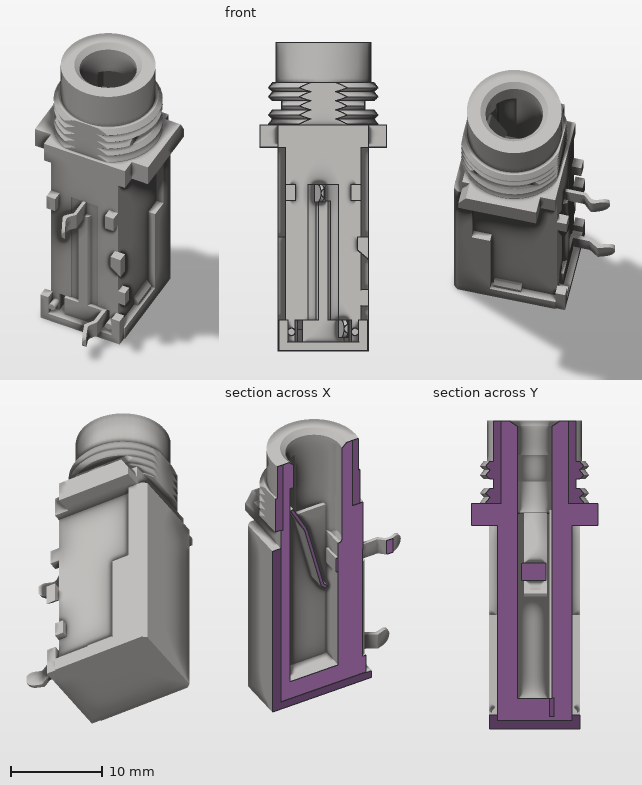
import cadquery as cq
import math


total_height = 33.85
body_half_width = 4.98
front_y = -5.75
back_y = 5.75
standoff_y = -6.85

housing_half_width = 4.13
housing_back_y = 4.7
floor_top_z = 0.98
flange_bottom_z = 22.35
flange_top_z = 24.8
ear_half_width = 13.9 / 2
ear_front_y = -4.05
ear_chamfer_depth = 0.85
ear_chamfer_height = 1.45
ear_chamfer_half_gap = 5.05

neck_radius = 4.5
bore_radius = 3.15
bore_mouth_radius = 3.72
bore_floor_z = 3.42
mouth_depth = bore_mouth_radius - bore_radius
shelf_y = -2.55
shelf_back_y = -2.88
shelf_top_z = 20.3
shelf_slope_top_z = 21.0

spring_x = 0.15
spring_half_width = 2.5
spring_pocket_back_y = 3.52
spring_pocket_top_z = 30.1
window_left_x = 1.85
window_right_x = 3.52
window_front_y = 0.47
window_back_y = 2.55
window_top_z = 31.07

groove_half_width = 1.65
groove_depth = 0.1
raised_y = -6.1
rib_half_width = 0.55
rib_base_half_width = 0.8
leg_height = 1.95
upper_leg_top_z = 18.28
upper_leg_bottom_z = upper_leg_top_z - leg_height
rib_top_z = 16.45

foot_top_z = bore_floor_z
foot_half_width = 2.3
foot_recess_half_width = 3.08
foot_recess_depth = 1.3
foot_recess_step_x = 2.85
foot_recess_step_depth = 1.0
foot_ledge_depth = 1.15
foot_ledge_top_z = 2.37
peg_radius = 0.4
peg_x = 3.5
peg_z = 2.1

standoff_width = 1.1
standoff_height = 1.8
stop_inner_x = 3.75
stop_bottom_z = 10.02
stop_corner_z = 11.07
step_z = 12.52
side_tab_depth = 1.0
side_tab_bottom_z = 4.95
side_tab_top_z = 6.75
latch_front_y = -1.83
latch_back_y = 1.3
latch_top_z = 2.78
latch_bevel_z = 2.47
latch_nose_z = 2.03
latch_bevel_reach = 0.15
latch_reach = 0.5

collar_radius = 5.2
collar_bottom_z = 29.45
thread_radius = 6.0
thread_root_radius = 5.55
thread_turns = 5
crest_span = 4.0
thread_pitch = crest_span / (thread_turns - 1)
root_above_crest = 0.58
thread_flat_y = 5.38
wrench_flat_x = 4.57
wrench_flat_bottom_z = collar_bottom_z - 3 * thread_pitch

cover_chamfer_x = 0.4
cover_chamfer_y = 0.5
cover_upper_edge_y = 3.62
cover_lower_edge_y = 1.6
cover_sill_z = 1.6
post_outer_x = 4.87
post_inner_x = 3.9
post_top_z = foot_top_z

leg_bend_y = -8.02
leg_tip_y = -10.75
upper_leg_thickness = 0.37
lower_leg_thickness = 0.45
upper_leg_x = 0.0
lower_leg_x = foot_half_width + lower_leg_thickness / 2
upper_knee_shift = -0.85
upper_knee_y = -8.95
upper_knee_radius = 0.68
upper_tip_shift = -0.07
lower_knee_shift = -0.65
lower_knee_y = -9.05
lower_knee_radius = 0.4
lower_tip_shift = -0.05
jog_inner_y = -3.4
jog_outer_y = -4.23
lower_leg_top_z = foot_top_z
lower_leg_bottom_z = lower_leg_top_z - leg_height
pad_left_x = -1.45
pad_right_x = 1.3
pad_face_y = -2.27
blade_x = 1.85
blade_front_y = -2.4
blade_back_y = 2.03
blade_top_z = 24.05
spring_thickness = 0.4
spring_corner_radius = 0.3
spring_top_z = 27.08
spring_bend_y = 1.52
spring_bend_z = 23.7
tongue_left_x = -1.15
tongue_right_x = 1.4
tongue_tip_y = -0.58
tongue_tip_z = 15.23
tongue_end_y = -1.12
tongue_end_z = 14.72


def box(x0, x1, y0, y1, z0, z1):
    """Box between two opposite corners."""
    return cq.Workplane("XY").box(x1 - x0, y1 - y0, z1 - z0, centered=False).translate((x0, y0, z0))


def both_sides(shape):
    """The shape together with its mirror image across the YZ plane."""
    return shape.union(shape.mirror("YZ"))


def cylinder(radius, z0, z1):
    """Cylinder on the plug axis."""
    return cq.Workplane("XY").workplane(offset=z0).circle(radius).extrude(z1 - z0)


def yz_prism(points, x0, x1):
    """Prism along X from a Y, Z outline."""
    return cq.Workplane("YZ").workplane(offset=x0).polyline(points).close().extrude(x1 - x0)


def xz_prism(points, y0, y1):
    """Prism along Y from an X, Z outline."""
    return cq.Workplane("XZ").workplane(offset=-y1).polyline(points).close().extrude(y1 - y0)


def offset_strip(path, thickness):
    """Closed outline of a strip of constant thickness centred on an open path."""
    half = thickness / 2
    normals = []
    for (u0, v0), (u1, v1) in zip(path, path[1:]):
        length = math.hypot(u1 - u0, v1 - v0)
        normals.append(((v0 - v1) / length, (u1 - u0) / length))
    left = []
    right = []
    for i, (u, v) in enumerate(path):
        before = normals[max(i - 1, 0)]
        after = normals[min(i, len(normals) - 1)]
        scale = half / (1 + before[0] * after[0] + before[1] * after[1])
        du = (before[0] + after[0]) * scale
        dv = (before[1] + after[1]) * scale
        left.append((u + du, v + dv))
        right.append((u - du, v - dv))
    return left + right[::-1]


def bent_leg(inner_path, x, knee_shift, tip_shift, knee_y, knee_radius, thickness, bottom_z):
    """Upright strip that leaves the front face, kinks sideways and ends in a full round."""
    path = inner_path + [
        (x, leg_bend_y),
        (x + knee_shift, knee_y),
        (x + tip_shift, leg_tip_y),
    ]
    outline = offset_strip(path, thickness)
    strip = cq.Workplane("XY").workplane(offset=bottom_z).polyline(outline).close().extrude(leg_height)
    outer_knee = outline[len(path) - 2]
    inner_knee = outline[len(path) + 1]
    for knee, knee_side_radius in [
        (outer_knee, knee_radius + thickness / 2), (inner_knee, knee_radius - thickness / 2)
    ]:
        strip = (
            strip.edges("|Z").edges(cq.NearestToPointSelector((*knee, bottom_z + leg_height / 2)))
            .fillet(knee_side_radius)
        )
    radius = leg_height / 2
    tip = min(y for _, y in outline)
    rounding = (
        cq.Workplane("YZ").workplane(offset=-ear_half_width)
        .moveTo(back_y, bottom_z)
        .lineTo(tip + radius, bottom_z)
        .threePointArc((tip, bottom_z + radius), (tip + radius, bottom_z + leg_height))
        .lineTo(back_y, bottom_z + leg_height)
        .close().extrude(2 * ear_half_width)
    )
    return strip.intersect(rounding)


def make_upper_terminal():
    """Leg in the centre plane with a flat contact pad inside the bore."""
    leg = bent_leg(
        [(upper_leg_x, shelf_y)],
        upper_leg_x, upper_knee_shift, upper_tip_shift, upper_knee_y, upper_knee_radius,
        upper_leg_thickness, upper_leg_bottom_z,
    )
    pad = box(pad_left_x, pad_right_x, shelf_y, pad_face_y, upper_leg_bottom_z, upper_leg_top_z)
    return leg.union(pad)


def make_lower_terminal():
    """Leg beside the foot, running in under the bore to a blade that carries the spring."""
    leg = bent_leg(
        [(blade_x, blade_back_y), (blade_x, jog_inner_y), (lower_leg_x, jog_outer_y)],
        lower_leg_x, lower_knee_shift, lower_tip_shift, lower_knee_y, lower_knee_radius,
        lower_leg_thickness, lower_leg_bottom_z,
    )
    half = lower_leg_thickness / 2
    blade = box(
        blade_x - half, blade_x + half, blade_front_y, blade_back_y, lower_leg_bottom_z, blade_top_z
    )
    slope_path = [(spring_pocket_back_y - spring_thickness / 2, spring_top_z), (spring_bend_y, spring_bend_z)]
    slope = yz_prism(
        offset_strip(slope_path, spring_thickness), spring_x - spring_half_width, spring_x + spring_half_width
    )
    slope = slope.faces("<Z").edges("<X or >X").fillet(spring_corner_radius)
    tongue_path = [
        (spring_bend_y, spring_bend_z), (tongue_tip_y, tongue_tip_z), (tongue_end_y, tongue_end_z)
    ]
    tongue = yz_prism(offset_strip(tongue_path, spring_thickness), tongue_left_x, tongue_right_x)
    return leg.union(blade).union(slope).union(tongue)


def make_bushing():
    """Collar over a thread of parallel ridges, sitting on the flange around the neck."""
    outline = [(neck_radius, flange_top_z), (thread_radius, flange_top_z)]
    for turn in range(thread_turns):
        root_z = collar_bottom_z - (thread_turns - 1 - turn) * thread_pitch
        outline.append((thread_radius, root_z - root_above_crest))
        outline.append((thread_root_radius, root_z))
    outline += [
        (collar_radius, collar_bottom_z),
        (collar_radius, total_height),
        (neck_radius, total_height),
    ]
    bushing = cq.Workplane("XZ").polyline(outline).close().revolve(360, (0, 0, 0), (0, 1, 0))
    bushing = bushing.intersect(
        box(-ear_half_width, ear_half_width, -thread_flat_y, thread_flat_y, 0, total_height)
    )
    wrench_flat = box(
        wrench_flat_x, ear_half_width, front_y, back_y,
        wrench_flat_bottom_z, wrench_flat_bottom_z + thread_pitch,
    )
    return bushing.cut(both_sides(wrench_flat))


def make_flange():
    """Flange with an ear on each side, sloped along the upper back edge of the ears."""
    flange = box(
        -body_half_width, body_half_width, front_y, housing_back_y, flange_bottom_z, flange_top_z
    )
    flange = flange.union(box(
        -ear_half_width, ear_half_width, ear_front_y, housing_back_y, flange_bottom_z, flange_top_z
    ))
    slope = yz_prism(
        [
            (housing_back_y, flange_top_z),
            (housing_back_y - ear_chamfer_depth, flange_top_z),
            (housing_back_y, flange_top_z - ear_chamfer_height),
        ],
        ear_chamfer_half_gap, ear_half_width,
    )
    return flange.cut(both_sides(slope))


def make_bore():
    """Plug bore with a conical mouth, a shelf at the front and a spring pocket at the back."""
    bore = cylinder(bore_radius, bore_floor_z, total_height)
    shelf = yz_prism(
        [
            (-bore_radius, bore_floor_z), (shelf_y, bore_floor_z), (shelf_y, shelf_top_z),
            (shelf_back_y, shelf_top_z), (-bore_radius, shelf_slope_top_z),
        ],
        -bore_radius, bore_radius,
    )
    bore = bore.cut(shelf)
    mouth = (
        cq.Workplane("XY").workplane(offset=total_height - mouth_depth)
        .circle(bore_radius).workplane(offset=mouth_depth).circle(bore_mouth_radius).loft()
    )
    pocket = box(
        spring_x - spring_half_width, spring_x + spring_half_width, 0, spring_pocket_back_y,
        bore_floor_z, spring_pocket_top_z,
    )
    window = box(
        window_left_x, window_right_x, window_front_y, window_back_y,
        bore_floor_z, window_top_z,
    )
    return bore.union(mouth).union(pocket).union(window)


def make_rib():
    """Tapered rib standing in the front groove."""
    groove_y = front_y + groove_depth
    return (
        cq.Workplane("XY").workplane(offset=foot_top_z)
        .polyline([
            (-rib_base_half_width, groove_y), (-rib_half_width, raised_y),
            (rib_half_width, raised_y), (rib_base_half_width, groove_y),
        ])
        .close().extrude(rib_top_z - foot_top_z)
    )


def make_latch():
    """Wedge on the +X side that snaps over the cover sill."""
    return xz_prism(
        [
            (housing_half_width, latch_top_z),
            (housing_half_width + latch_bevel_reach, latch_bevel_z),
            (housing_half_width + latch_reach, latch_nose_z),
            (housing_half_width + latch_reach, cover_sill_z),
            (housing_half_width, cover_sill_z),
        ],
        latch_front_y, latch_back_y,
    )


def make_housing(terminals):
    """Insulating body with flange and neck, slotted for the terminals."""
    housing = box(
        -housing_half_width, housing_half_width, front_y, housing_back_y, floor_top_z, flange_top_z
    )
    housing = housing.union(make_flange()).union(cylinder(neck_radius, flange_bottom_z, total_height))
    housing = housing.cut(make_bore())

    housing = housing.cut(box(
        -groove_half_width, groove_half_width, front_y, front_y + groove_depth, foot_top_z, upper_leg_top_z
    ))
    recess_y = front_y + foot_recess_depth
    housing = housing.cut(box(
        -foot_recess_half_width, foot_recess_half_width, front_y, recess_y, floor_top_z, foot_top_z
    ))
    step_y = front_y + foot_recess_step_depth
    step = box(
        foot_recess_step_x, foot_recess_half_width, step_y, recess_y, floor_top_z, foot_top_z
    )
    ledge = box(
        -foot_recess_step_x, -foot_half_width, front_y + foot_ledge_depth, recess_y,
        floor_top_z, foot_ledge_top_z,
    )
    housing = housing.union(both_sides(step)).union(ledge)
    housing = housing.union(box(
        -foot_half_width, foot_half_width, raised_y, recess_y, floor_top_z, foot_top_z
    ))
    housing = housing.union(make_rib())

    standoff = box(
        housing_half_width - standoff_width, housing_half_width, standoff_y, front_y,
        upper_leg_top_z - standoff_height, upper_leg_top_z,
    )
    peg = (
        cq.Workplane("XZ").workplane(offset=-front_y).center(peg_x, peg_z)
        .circle(peg_radius).extrude(front_y - standoff_y)
    )
    housing = housing.union(both_sides(standoff)).union(both_sides(peg)).union(both_sides(make_latch()))

    stop = xz_prism(
        [(stop_inner_x, step_z), (body_half_width, step_z), (body_half_width, stop_bottom_z),
         (stop_inner_x, stop_corner_z)],
        standoff_y, front_y,
    )
    tab = box(
        housing_half_width, body_half_width, front_y, front_y + side_tab_depth,
        side_tab_bottom_z, side_tab_top_z,
    )
    housing = housing.union(stop).union(tab)
    for terminal in terminals:
        housing = housing.cut(terminal)
    return housing


def make_cover():
    """Back wall, two stepped side walls and a floor, with two short posts at the front."""
    cover = (
        cq.Workplane("XY")
        .polyline([
            (-body_half_width, front_y), (body_half_width, front_y),
            (body_half_width, back_y - cover_chamfer_y), (body_half_width - cover_chamfer_x, back_y),
            (cover_chamfer_x - body_half_width, back_y), (-body_half_width, back_y - cover_chamfer_y),
        ])
        .close().extrude(flange_bottom_z)
    )
    cover = cover.cut(box(
        -housing_half_width, housing_half_width, front_y, housing_back_y, floor_top_z, flange_bottom_z
    ))
    side_opening = yz_prism(
        [
            (front_y, cover_sill_z), (cover_lower_edge_y, cover_sill_z), (cover_lower_edge_y, step_z),
            (cover_upper_edge_y, step_z), (cover_upper_edge_y, flange_bottom_z), (front_y, flange_bottom_z),
        ],
        -body_half_width, body_half_width,
    )
    cover = cover.cut(side_opening)
    lip = box(-post_outer_x, post_outer_x, standoff_y, front_y, 0, floor_top_z)
    post = box(post_inner_x, post_outer_x, standoff_y, front_y, 0, post_top_z)
    return cover.union(lip).union(both_sides(post))


upper_terminal = make_upper_terminal()
lower_terminal = make_lower_terminal()
housing = make_housing([upper_terminal, lower_terminal])
bushing = make_bushing()
cover = make_cover()

result = cq.Compound.makeCompound([
    housing.val(),
    bushing.val(),
    cover.val(),
    upper_terminal.val(),
    lower_terminal.val(),
])